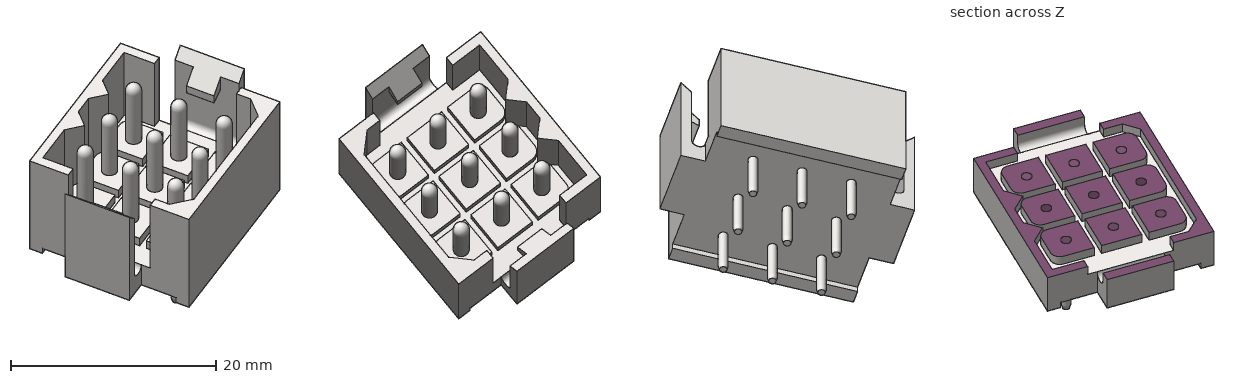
import cadquery as cq
import math

HOUSING_X = 17.6
HOUSING_Y = 18.83
HOUSING_Z = 11.83
OVERALL_Y = 23.8
SIDE_WALL = 0.93
END_WALL = 1.0
FOOT_WIDTH = 1.4
FOOT_HEIGHT = 0.67

FLOOR_Z = 3.38
PAD_HEIGHT = 1.0
PAD_TOP_Z = FLOOR_Z + PAD_HEIGHT
CORNER_CHAMFER = 1.75
FLOOR_CHAMFER = 1.35
KEY_DEPTH = 1.45
WINDOW_WIDTH = 9.05

GRID_COUNT = 3
PITCH = 5.0
PAD_SIZE = 4.25
PAD_CORNER_RADIUS = 1.0

LATCH_WIDTH = 7.07
LATCH_THICKNESS = 1.1
HOOK_WIDTH = 3.02
HOOK_ROOT_DROP = 2.78
HOOK_TIP_DROP = 3.43

PIN_DIAMETER = 1.6
TAIL_DIAMETER = 0.98
TAIL_TIP_DIAMETER = 0.71
TAIL_TAPER = 0.5
PIN_TOP_DROP = 0.15
OVERALL_Z = 16.3

INNER_X = HOUSING_X / 2 - SIDE_WALL
INNER_Y = HOUSING_Y / 2 - END_WALL
LATCH_REACH = (OVERALL_Y - HOUSING_Y) / 2
LATCH_GAP = LATCH_REACH - LATCH_THICKNESS
PIN_RADIUS = PIN_DIAMETER / 2
TAIL_RADIUS = TAIL_DIAMETER / 2
TAIL_TIP_RADIUS = TAIL_TIP_DIAMETER / 2
PIN_TOP_Z = HOUSING_Z - PIN_TOP_DROP
PIN_BOTTOM_Z = HOUSING_Z - OVERALL_Z
OFFSETS = [(i - (GRID_COUNT - 1) / 2) * PITCH for i in range(GRID_COUNT)]
CONTACT_CENTERS = [(x, y) for x in OFFSETS for y in OFFSETS]
KEY_CENTERS = [(a + b) / 2 for a, b in zip(OFFSETS, OFFSETS[1:])]


def box_between(x_size, y_size, z_low, z_high):
    """Box centred on the Z axis between two heights."""
    return cq.Workplane("XY", origin=(0, 0, z_low)).rect(x_size, y_size).extrude(z_high - z_low)


def cavity_prism(chamfer, z_low, z_high):
    """Rectangular cavity whose two +X corners are chamfered."""
    prism = box_between(2 * INNER_X, 2 * INNER_Y, z_low, z_high)
    return prism.edges("|Z and >X").chamfer(chamfer)


def key_rib(y):
    """Triangular 45-degree polarising rib on the -X wall."""
    wall_x = -INNER_X
    outline = [(wall_x, y - KEY_DEPTH), (wall_x + KEY_DEPTH, y), (wall_x, y + KEY_DEPTH)]
    return cq.Workplane("XY", origin=(0, 0, FLOOR_Z)).polyline(outline).close().extrude(HOUSING_Z - FLOOR_Z)


def contact_pad(x, y):
    """Raised square pad; pads along the X sides have rounded outer corners."""
    pad = cq.Workplane("XY", origin=(x, y, FLOOR_Z)).rect(PAD_SIZE, PAD_SIZE).extrude(PAD_HEIGHT)
    if x < 0:
        return pad.edges("|Z and <X").fillet(PAD_CORNER_RADIUS)
    if x > 0:
        return pad.edges("|Z and >X").fillet(PAD_CORNER_RADIUS)
    return pad


def front_latch():
    """Sprung latch on the -Y end: a leaf with a U-shaped root and an inward hook."""
    wall_y = -HOUSING_Y / 2
    outer_y = wall_y - LATCH_REACH
    inner_y = outer_y + LATCH_THICKNESS
    root_radius = LATCH_GAP / 2

    leaf = (
        cq.Workplane("YZ")
        .moveTo(outer_y, FOOT_HEIGHT)
        .lineTo(outer_y, HOUSING_Z)
        .lineTo(inner_y, HOUSING_Z - LATCH_THICKNESS)
        .lineTo(inner_y, FLOOR_Z)
        .threePointArc((inner_y + root_radius, FLOOR_Z - root_radius), (wall_y, FLOOR_Z))
        .lineTo(wall_y, FOOT_HEIGHT)
        .close()
        .extrude(LATCH_WIDTH / 2, both=True)
    )
    hook_outline = [
        (outer_y, HOUSING_Z),
        (wall_y, HOUSING_Z - LATCH_REACH),
        (wall_y, HOUSING_Z - HOOK_TIP_DROP),
        (inner_y, HOUSING_Z - HOOK_ROOT_DROP),
        (outer_y, HOUSING_Z - HOOK_ROOT_DROP),
    ]
    hook = cq.Workplane("YZ").polyline(hook_outline).close().extrude(HOOK_WIDTH / 2, both=True)
    return leaf.union(hook)


def make_housing():
    body = box_between(HOUSING_X, HOUSING_Y, 0, HOUSING_Z)

    body = body.cut(box_between(HOUSING_X - 2 * FOOT_WIDTH, HOUSING_Y, 0, FOOT_HEIGHT))

    body = body.cut(cavity_prism(CORNER_CHAMFER, PAD_TOP_Z, HOUSING_Z))
    body = body.cut(cavity_prism(FLOOR_CHAMFER, FLOOR_Z, PAD_TOP_Z))

    body = body.cut(box_between(WINDOW_WIDTH, HOUSING_Y, FLOOR_Z, HOUSING_Z))

    for y in KEY_CENTERS:
        body = body.union(key_rib(y))
    for x, y in CONTACT_CENTERS:
        body = body.union(contact_pad(x, y))

    latch = front_latch()
    body = body.union(latch).union(latch.mirror("XZ"))

    tail_holes = cq.Workplane("XY").pushPoints(CONTACT_CENTERS).circle(TAIL_RADIUS).extrude(PAD_TOP_Z)
    return body.cut(tail_holes)


def make_pin(x, y):
    """Round contact with a domed top, standing on its pad; its thin tail passes through the base."""
    dome_base_z = PIN_TOP_Z - PIN_RADIUS
    dome_mid = PIN_RADIUS * math.sqrt(0.5)
    taper_z = PIN_BOTTOM_Z + TAIL_TAPER
    profile = (
        cq.Workplane("XZ")
        .moveTo(0, PIN_BOTTOM_Z)
        .lineTo(TAIL_TIP_RADIUS, PIN_BOTTOM_Z)
        .lineTo(TAIL_RADIUS, taper_z)
        .lineTo(TAIL_RADIUS, PAD_TOP_Z)
        .lineTo(PIN_RADIUS, PAD_TOP_Z)
        .lineTo(PIN_RADIUS, dome_base_z)
        .threePointArc((dome_mid, dome_base_z + dome_mid), (0, PIN_TOP_Z))
        .close()
    )
    return profile.revolve(360, (0, 0, 0), (0, 1, 0)).translate((x, y, 0))


housing = make_housing()
pins = [make_pin(x, y) for x, y in CONTACT_CENTERS]

result = cq.Compound.makeCompound([housing.solids().val(), *[pin.val() for pin in pins]])